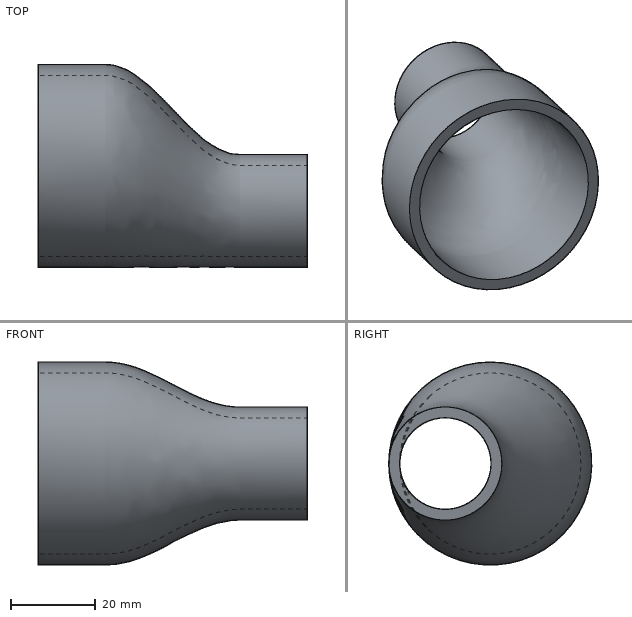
import cadquery as cq
import math

large_diameter = 48.3
small_diameter = 26.9
wall = 2.6
pipe_end_length = 16.0
transition_length = 32.0
transition_steps = 12

large_radius = large_diameter / 2
small_radius = small_diameter / 2
transition_start = pipe_end_length
transition_end = transition_start + transition_length
small_axis_y = small_radius - large_radius


def circle_wire(x, axis_y, radius):
    """Circle around an axis parallel to X."""
    return cq.Wire.makeCircle(radius, cq.Vector(x, axis_y, 0), cq.Vector(1, 0, 0))


def pipe_end(x, axis_y, radius):
    """Straight cylinder of one pipe end, starting at x."""
    return cq.Solid.makeCylinder(
        radius, pipe_end_length, cq.Vector(x, axis_y, 0), cq.Vector(1, 0, 0)
    )


def transition(inset):
    """Loft through circles whose radius eases from the large to the small pipe."""
    sections = []
    for step in range(transition_steps + 1):
        fraction = step / transition_steps
        blend = (1 - math.cos(math.pi * fraction)) / 2
        radius = large_radius + blend * (small_radius - large_radius)
        x = transition_start + fraction * transition_length
        sections.append(circle_wire(x, radius - large_radius, radius - inset))
    return cq.Solid.makeLoft(sections)


def reducer_body(inset):
    """Solid reducer shape, shrunk radially by inset."""
    large_end = pipe_end(0, 0, large_radius - inset)
    small_end = pipe_end(transition_end, small_axis_y, small_radius - inset)
    return cq.Workplane(large_end).union(cq.Workplane(transition(inset))).union(cq.Workplane(small_end))


result = reducer_body(0).cut(reducer_body(wall))